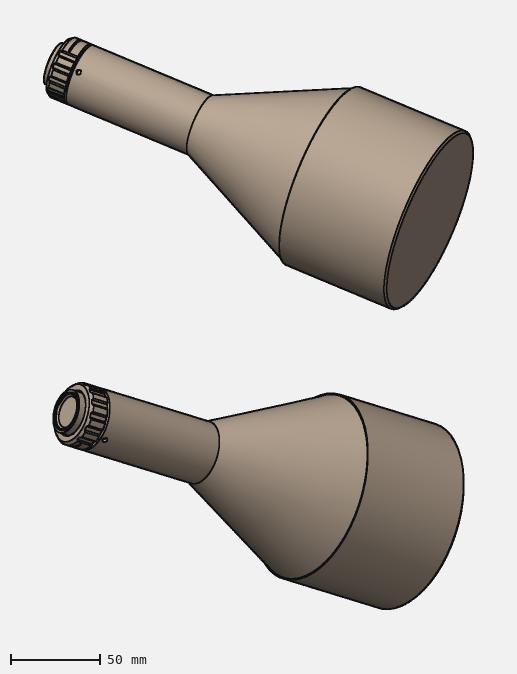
import cadquery as cq


total_length = 236.7
ring_start = 3.8
ring_end = 15.6
tube_start = 17.0
cone_start = 92.8
cone_end = 169.5

nose_radius = 12.5
tube_diameter = 36.2
tube_radius = tube_diameter / 2
ring_radius = tube_radius
neck_radius = 15.6
barrel_radius = 54.0

ring_chamfer_length = 2.1
ring_chamfer_height = 1.5
barrel_chamfer = 1.2
cone_step = 0.7

recess_mouth_radius = 10.2
recess_floor_radius = 9.0
recess_depth = 1.5

recess_rim_width = 0.2
nose_groove_inner_radius = recess_mouth_radius + recess_rim_width
nose_groove_outer_radius = 11.1
nose_groove_depth = 0.7

gap_radius = 13.3
gap_depth = 1.2

flute_pitch_angle = 360 / 14
flute_count = 7
middle_flute_angle = 2.0
flute_floor_width = 2.4
flute_mouth_width = 5.0
flute_depth = 0.6

index_line_start = 9.2
index_line_width = 0.7
index_line_depth = 0.5

screw_count = 3
screw_position = 20.1
screw_diameter = 2.8
screw_depth = 2.4
first_screw_angle = 60.0

overcut = 1.2


def revolve_about_x(points, angle=360):
    """Revolve a closed (x, radius) outline about the X axis."""
    return cq.Workplane("XY").polyline(points).close().revolve(angle, (0, 0, 0), (1, 0, 0))


def tube_section(start, length, inner_radius, outer_radius, angle=360):
    """Make a ring, or part of one from +Y towards +Z, with a rectangular section."""
    end = start + length
    section = [(start, inner_radius), (end, inner_radius), (end, outer_radius), (start, outer_radius)]
    return revolve_about_x(section, angle)


def raise_by(solid, angle):
    """Turn a solid about the X axis, carrying its -Y side up towards +Z."""
    return solid.rotate((0, 0, 0), (1, 0, 0), -angle)


def make_body():
    return revolve_about_x([
        (0, 0),
        (0, nose_radius),
        (ring_start, nose_radius),
        (ring_start, ring_radius - ring_chamfer_height),
        (ring_start + ring_chamfer_length, ring_radius),
        (ring_end, ring_radius),
        (ring_end, neck_radius),
        (tube_start, neck_radius),
        (tube_start, tube_radius),
        (cone_start, tube_radius),
        (cone_end, barrel_radius - cone_step),
        (cone_end, barrel_radius),
        (total_length - barrel_chamfer, barrel_radius),
        (total_length, barrel_radius - barrel_chamfer),
        (total_length, 0),
    ])


def make_recess():
    return revolve_about_x([
        (0, 0),
        (0, recess_mouth_radius),
        (recess_depth, recess_floor_radius),
        (recess_depth, 0),
    ])


def make_flute():
    """Trapezoidal cutter along X on the -Y side of the ring."""
    floor_y = -(ring_radius - flute_depth)
    mouth_y = -ring_radius
    outer_y = mouth_y - overcut
    half_floor = flute_floor_width / 2
    half_mouth = flute_mouth_width / 2
    return (
        cq.Workplane("YZ", origin=(ring_start, 0, 0))
        .polyline([
            (floor_y, -half_floor),
            (mouth_y, -half_mouth),
            (outer_y, -half_mouth),
            (outer_y, half_mouth),
            (mouth_y, half_mouth),
            (floor_y, half_floor),
        ])
        .close()
        .extrude(ring_end - ring_start)
    )


def make_screw_hole():
    """Radial hole cutter on the -Y side of the tube."""
    return (
        cq.Workplane("XZ", origin=(screw_position, screw_depth - tube_radius, 0))
        .circle(screw_diameter / 2)
        .extrude(screw_depth + overcut)
    )


result = make_body()
result = result.cut(make_recess())
result = result.cut(
    tube_section(0, nose_groove_depth, nose_groove_inner_radius, nose_groove_outer_radius)
)
result = result.cut(tube_section(ring_start, gap_depth, nose_radius, gap_radius))

for i in range(flute_count):
    flute_angle = middle_flute_angle + (i - flute_count // 2) * flute_pitch_angle
    result = result.cut(raise_by(make_flute(), flute_angle))

index_line = tube_section(
    index_line_start, index_line_width, ring_radius - index_line_depth, ring_radius + overcut, 180
)
result = result.cut(raise_by(index_line, 90))

for i in range(screw_count):
    screw_angle = first_screw_angle + i * 360 / screw_count
    result = result.cut(raise_by(make_screw_hole(), screw_angle))